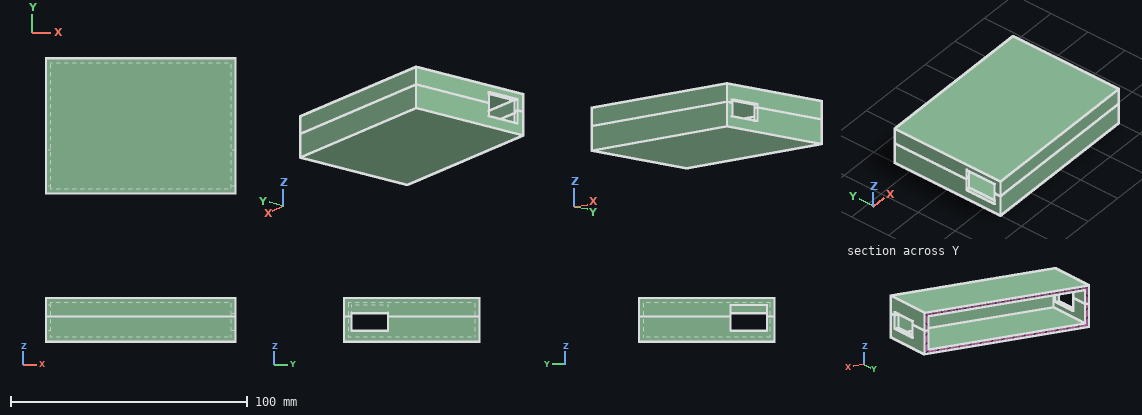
import cadquery as cq

LENGTH = 80.2
WIDTH = 57.35
HEIGHT = 18.5
WALL = 2.0
SPLIT_Z = 10.6

OPENING_WIDTH = 15.3
OPENING_SIDE_MARGIN = 3.2
SILL_Z = 4.7
NEAR_OPENING_TOP_Z = 15.55
FAR_OPENING_TOP_Z = 12.0

OPENING_Y = -WIDTH / 2 + OPENING_SIDE_MARGIN + OPENING_WIDTH / 2
END_WALL_X = (LENGTH - WALL) / 2


def block(length, width, bottom_z, top_z, center=(0, 0)):
    """Rectangular block between two heights, centred on the given X, Y point."""
    return (
        cq.Workplane("XY")
        .box(length, width, top_z - bottom_z, centered=(True, True, False))
        .translate((*center, bottom_z))
    )


def cut_openings(shell):
    """Cut the part of each end-wall opening that falls within a half of the case."""
    near_opening = block(WALL, OPENING_WIDTH, SILL_Z, NEAR_OPENING_TOP_Z, (-END_WALL_X, OPENING_Y))
    far_opening = block(WALL, OPENING_WIDTH, SILL_Z, FAR_OPENING_TOP_Z, (END_WALL_X, OPENING_Y))
    return shell.cut(near_opening).cut(far_opening)


def make_base():
    """Open-topped tray with a floor and four walls."""
    outside = block(LENGTH, WIDTH, 0, SPLIT_Z)
    cavity = block(LENGTH - 2 * WALL, WIDTH - 2 * WALL, WALL, SPLIT_Z)
    return cut_openings(outside.cut(cavity))


def make_lid():
    """Cover with a roof and four walls that rest on the walls of the base."""
    outside = block(LENGTH, WIDTH, SPLIT_Z, HEIGHT)
    cavity = block(LENGTH - 2 * WALL, WIDTH - 2 * WALL, SPLIT_Z, HEIGHT - WALL)
    return cut_openings(outside.cut(cavity))


base = make_base()
lid = make_lid()

result = cq.Compound.makeCompound([base.solids().val(), lid.solids().val()])